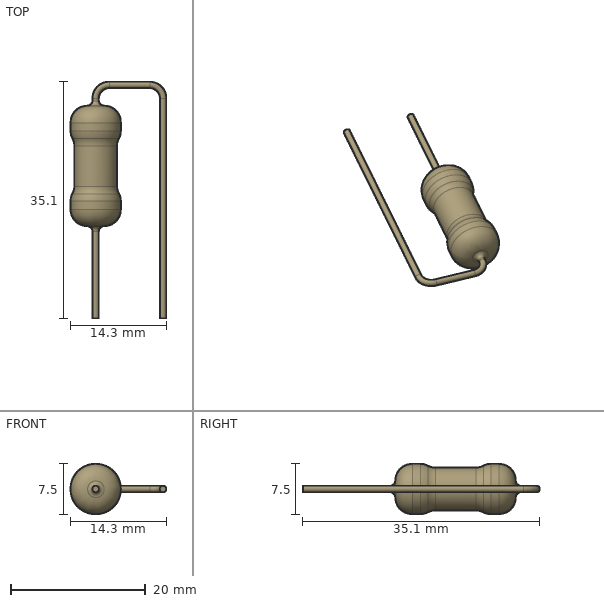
import cadquery as cq

overall_length = 35.1
lead_diameter = 1.0
lead_pitch = 10.0
bend_radius = 2.0

body_diameter = 7.5
waist_diameter = 6.4
body_center_y = 22.6
body_half_length = 8.95
bulge_half_start = 5.2
waist_half_length = 3.02
neck_fillet = 0.75

lead_radius = lead_diameter / 2
body_radius = body_diameter / 2
waist_radius = waist_diameter / 2
neck_radius = lead_radius + neck_fillet
shoulder_radius = body_radius - neck_radius
bend_center_y = overall_length - lead_radius - bend_radius


def make_body():
    """Revolve the bulged body, including the flared necks around the leads."""
    neck_end = body_half_length + neck_fillet
    shoulder_start = body_half_length - shoulder_radius
    blend_radius = (body_radius + waist_radius) / 2
    blend_y = (bulge_half_start + waist_half_length) / 2

    profile = (
        cq.Workplane("XY", origin=(0, body_center_y, 0))
        .moveTo(0, -neck_end)
        .lineTo(lead_radius, -neck_end)
        .radiusArc((neck_radius, -body_half_length), neck_fillet)
        .radiusArc((body_radius, -shoulder_start), -shoulder_radius)
        .lineTo(body_radius, -bulge_half_start)
        .tangentArcPoint((blend_radius, -blend_y), relative=False)
        .tangentArcPoint((waist_radius, -waist_half_length), relative=False)
        .lineTo(waist_radius, waist_half_length)
        .tangentArcPoint((blend_radius, blend_y), relative=False)
        .tangentArcPoint((body_radius, bulge_half_start), relative=False)
        .lineTo(body_radius, shoulder_start)
        .radiusArc((neck_radius, body_half_length), -shoulder_radius)
        .radiusArc((lead_radius, neck_end), neck_fillet)
        .lineTo(0, neck_end)
        .close()
    )
    return profile.revolve(360, (0, 0, 0), (0, 1, 0))


def make_lead():
    """Sweep the wire through the body, around both bends and back to Y = 0."""
    path = (
        cq.Workplane("XY")
        .lineTo(0, bend_center_y)
        .tangentArcPoint((bend_radius, bend_radius))
        .lineTo(lead_pitch - bend_radius, bend_center_y + bend_radius)
        .tangentArcPoint((bend_radius, -bend_radius))
        .lineTo(lead_pitch, 0)
    )
    return cq.Workplane("XZ").circle(lead_radius).sweep(path)


result = make_body().union(make_lead())